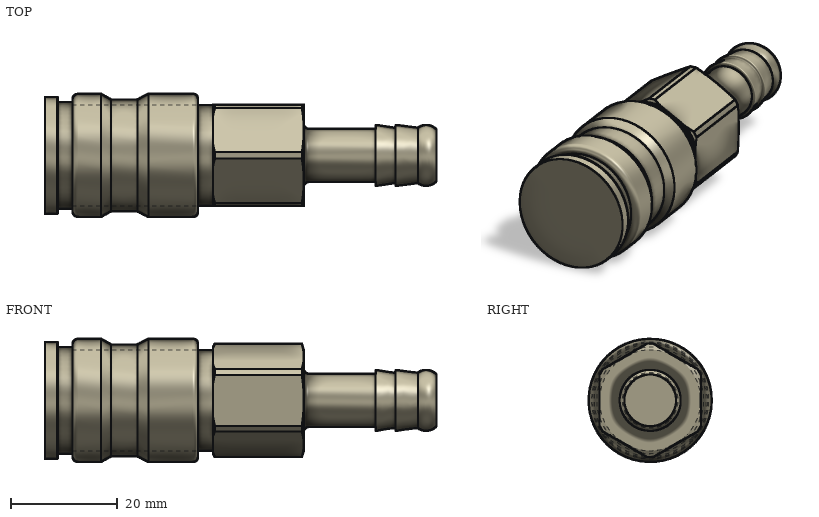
import cadquery as cq
import math


FLANGE_END = 2.5
SLEEVE_START = 5.15
SLEEVE_END = 28.75
HEX_START = 31.5
HEX_END = 48.6
BARB_1_START = 62.0
BARB_2_START = 65.8
BEAD_START = 70.0
BEAD_PEAK = 71.6
TAIL_END = 73.5

FLANGE_DIAMETER = 22.0
FLANGE_CHAMFER = 0.2
NECK_DIAMETER = 20.1
COLLAR_DIAMETER = 18.95

HEX_ACROSS_FLATS = 19.0
HEX_CORNER_DIAMETER = 21.3
HEX_END_FACE_DIAMETER = 18.95
HEX_START_FACE_DIAMETER = 20.0
HEX_CHAMFER_LENGTH = 0.4

STEM_DIAMETER = 10.1
STEM_FILLET = 0.9
BARB_CREST_DIAMETER = 11.5
BARB_ROOT_DIAMETER = 10.45
BARB_EDGE_ROUND = 0.2
BARB_FOOT_FILLET = 0.2
BEAD_DIAMETER = 11.5
TIP_DIAMETER = 9.7

SLEEVE_DIAMETER = 23.15
SLEEVE_START_ROUND = 1.1
SLEEVE_END_ROUND = 0.95
WAIST_DIAMETER = 21.0
WAIST_LEFT_EDGE = 10.5
WAIST_LEFT_FLOOR = 12.4
WAIST_RIGHT_FLOOR = 17.35
WAIST_RIGHT_EDGE = 19.4

ROUND_MIDPOINT = math.sqrt(0.5)


def revolve_about_x(profile):
    """Turn a closed profile, drawn with X along the axis and Y as radius, into a solid."""
    return profile.close().revolve(360, (0, 0, 0), (1, 0, 0))


def cylinder(start, end, diameter):
    return cq.Workplane("YZ").workplane(offset=start).circle(diameter / 2).extrude(end - start)


def make_plug_end():
    """Flange, neck and the long cylinder that carries the sleeve."""
    flange = cylinder(0, FLANGE_END, FLANGE_DIAMETER).faces(">X").chamfer(FLANGE_CHAMFER)
    neck = cylinder(FLANGE_END, SLEEVE_START, NECK_DIAMETER)
    collar = cylinder(SLEEVE_START, HEX_START, COLLAR_DIAMETER)
    return flange.union(neck).union(collar)


def make_hex():
    """Hex with flats facing +Y and -Y, its corners trimmed and its ends chamfered."""
    across_corners = HEX_ACROSS_FLATS / math.cos(math.pi / 6)
    hexagon = (
        cq.Workplane("YZ")
        .workplane(offset=HEX_START)
        .transformed(rotate=(0, 0, 90))
        .polygon(6, across_corners)
        .extrude(HEX_END - HEX_START)
    )
    corner_radius = HEX_CORNER_DIAMETER / 2
    envelope = revolve_about_x(
        cq.Workplane("XY")
        .moveTo(HEX_START, 0)
        .lineTo(HEX_START, HEX_START_FACE_DIAMETER / 2)
        .lineTo(HEX_START + HEX_CHAMFER_LENGTH, corner_radius)
        .lineTo(HEX_END - HEX_CHAMFER_LENGTH, corner_radius)
        .lineTo(HEX_END, HEX_END_FACE_DIAMETER / 2)
        .lineTo(HEX_END, 0)
    )
    return hexagon.intersect(envelope)


def add_barb(profile, start, taper_end):
    """Continue a profile with a barb: a rounded crest, then a taper down to the root."""
    crest_radius = BARB_CREST_DIAMETER / 2
    rounding = BARB_EDGE_ROUND * (1 - ROUND_MIDPOINT)
    return (
        profile.lineTo(start, crest_radius - BARB_EDGE_ROUND)
        .threePointArc(
            (start + rounding, crest_radius - rounding),
            (start + BARB_EDGE_ROUND, crest_radius),
        )
        .lineTo(taper_end, BARB_ROOT_DIAMETER / 2)
    )


def add_barb_foot(profile, barb_start):
    """Continue a profile with the concave fillet at the foot of a barb's front face."""
    root_radius = BARB_ROOT_DIAMETER / 2
    rounding = BARB_FOOT_FILLET * (1 - ROUND_MIDPOINT)
    return profile.threePointArc(
        (barb_start - rounding, root_radius + rounding),
        (barb_start, root_radius + BARB_FOOT_FILLET),
    )


def make_hose_tail():
    """Stem filleted to the hex, two barbs and a rounded bead at the tip."""
    stem_radius = STEM_DIAMETER / 2
    rounding = STEM_FILLET * (1 - ROUND_MIDPOINT)
    profile = (
        cq.Workplane("XY")
        .moveTo(HEX_END, 0)
        .lineTo(HEX_END, stem_radius + STEM_FILLET)
        .threePointArc(
            (HEX_END + rounding, stem_radius + rounding),
            (HEX_END + STEM_FILLET, stem_radius),
        )
        .lineTo(BARB_1_START, stem_radius)
    )
    profile = add_barb(profile, BARB_1_START, BARB_2_START - BARB_FOOT_FILLET)
    profile = add_barb_foot(profile, BARB_2_START)
    profile = add_barb(profile, BARB_2_START, BEAD_START)
    profile = profile.threePointArc(
        (BEAD_PEAK, BEAD_DIAMETER / 2), (TAIL_END, TIP_DIAMETER / 2)
    ).lineTo(TAIL_END, 0)
    return revolve_about_x(profile)


def make_body():
    return make_plug_end().union(make_hex()).union(make_hose_tail())


def make_sleeve():
    """Grip sleeve with rounded ends and a waist, bored to fit the body."""
    blank = cylinder(SLEEVE_START, SLEEVE_END, SLEEVE_DIAMETER)
    blank = blank.faces("<X").edges().fillet(SLEEVE_START_ROUND)
    blank = blank.faces(">X").edges().fillet(SLEEVE_END_ROUND)
    outer_radius = SLEEVE_DIAMETER / 2
    waist_radius = WAIST_DIAMETER / 2
    clear_radius = SLEEVE_DIAMETER
    waist = revolve_about_x(
        cq.Workplane("XY")
        .moveTo(WAIST_LEFT_EDGE, clear_radius)
        .lineTo(WAIST_LEFT_EDGE, outer_radius)
        .lineTo(WAIST_LEFT_FLOOR, waist_radius)
        .lineTo(WAIST_RIGHT_FLOOR, waist_radius)
        .lineTo(WAIST_RIGHT_EDGE, outer_radius)
        .lineTo(WAIST_RIGHT_EDGE, clear_radius)
    )
    bore = cylinder(SLEEVE_START, SLEEVE_END, COLLAR_DIAMETER)
    return blank.cut(waist).cut(bore)


body = make_body()
sleeve = make_sleeve()

result = cq.Compound.makeCompound([body.val(), sleeve.val()])